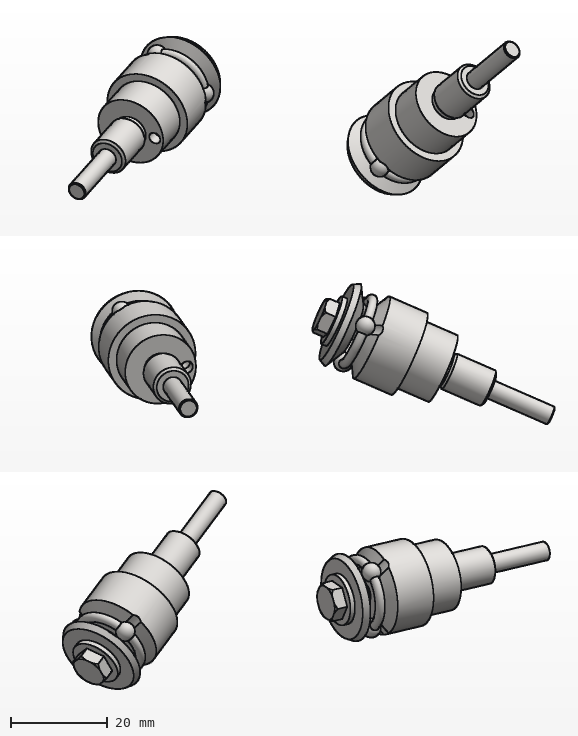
import cadquery as cq
import math


outer_radius = 9.25
cone_angle = 30.0
cone_slope = math.tan(math.radians(cone_angle))

bead_count = 3
bead_radius = 2.0
ring_tube_radius = 1.0
ring_radius = outer_radius - bead_radius

head_top = 8.75
head_across_flats = 7.05
head_corner_chamfer = 0.45
flange_top = 6.0
flange_radius = 5.35
rod_radius = 2.0
rod_end = head_top - 52.6
rod_chamfer_radial = 0.25
rod_chamfer_axial = 0.2

disc_back = 4.9
disc_back_radius = 8.5
disc_rim = 3.45
cone_tip_radius = 5.4

cone_base = -3.05
large_end = -11.6
small_radius = 7.5
small_end = -19.25
neck_radius = 3.5
neck_end = -20.2
nose_radius = 4.0
nose_shoulder = -20.7
nose_end = -29.9
nose_tip_radius = 3.35
nose_chamfer_axial = 0.4

blind_radius = 1.25
blind_offset = 5.6
blind_depth = 2.65
drill_tip_angle = 118.0

cone_height = (outer_radius - cone_tip_radius) * cone_slope


def revolve_about_y(points):
    """Solid of revolution from a closed outline of (radius, y) points."""
    return cq.Workplane("XY").polyline(points).close().revolve(360, (0, 0, 0), (0, 1, 0))


def turn_about_y(shape, angle):
    return shape.rotate((0, 0, 0), (0, 1, 0), angle)


def make_bolt():
    corner_radius = head_across_flats / math.sqrt(3)
    head = (
        cq.Workplane("XZ", origin=(0, head_top, 0))
        .polygon(6, 2 * corner_radius)
        .extrude(head_top - flange_top)
    )
    corner_limit = revolve_about_y([
        (0, flange_top),
        (corner_radius, flange_top),
        (corner_radius, head_top - head_corner_chamfer),
        (corner_radius - head_corner_chamfer, head_top),
        (0, head_top),
    ])
    flange_and_rod = revolve_about_y([
        (0, flange_top),
        (flange_radius, flange_top),
        (flange_radius, disc_back),
        (rod_radius, disc_back),
        (rod_radius, rod_end + rod_chamfer_axial),
        (rod_radius - rod_chamfer_radial, rod_end),
        (0, rod_end),
    ])
    return head.intersect(corner_limit).union(flange_and_rod)


def make_cone_disc():
    cone_tip = disc_rim - cone_height
    return revolve_about_y([
        (rod_radius, disc_back),
        (disc_back_radius, disc_back),
        (outer_radius, disc_rim),
        (cone_tip_radius, cone_tip),
        (rod_radius, cone_tip),
    ])


def make_bead(index):
    bead = cq.Workplane("XY").sphere(bead_radius).translate((ring_radius, 0, 0))
    return turn_about_y(bead, index * 360 / bead_count)


def make_beaded_ring():
    ring = (
        cq.Workplane("XY")
        .center(ring_radius, 0)
        .circle(ring_tube_radius)
        .revolve(360, (-ring_radius, 0, 0), (-ring_radius, 1, 0))
    )
    for index in range(bead_count):
        ring = ring.union(make_bead(index))
    return ring


def make_bead_groove(index):
    """Round groove along the cone, running outward from under a bead."""
    angle = math.radians(cone_angle)
    groove = cq.Workplane(cq.Solid.makeCylinder(
        bead_radius,
        outer_radius,
        cq.Vector(ring_radius, 0, 0),
        cq.Vector(math.cos(angle), -math.sin(angle), 0),
    ))
    return turn_about_y(groove, index * 360 / bead_count)


def make_blind_hole():
    tip_depth = blind_radius / math.tan(math.radians(drill_tip_angle / 2))
    drill = revolve_about_y([
        (0, small_end),
        (blind_radius, small_end),
        (blind_radius, small_end + blind_depth),
        (0, small_end + blind_depth + tip_depth),
    ])
    return drill.translate((blind_offset, 0, 0))


def make_housing():
    cone_tip = cone_base + cone_height
    housing = revolve_about_y([
        (rod_radius, cone_tip),
        (cone_tip_radius, cone_tip),
        (outer_radius, cone_base),
        (outer_radius, large_end),
        (small_radius, large_end),
        (small_radius, small_end),
        (neck_radius, small_end),
        (neck_radius, neck_end),
        (nose_radius, nose_shoulder),
        (nose_radius, nose_end + nose_chamfer_axial),
        (nose_tip_radius, nose_end),
        (rod_radius, nose_end),
    ])
    for index in range(bead_count):
        housing = housing.cut(make_bead(index)).cut(make_bead_groove(index))
    return housing.cut(make_blind_hole())


bolt = make_bolt()
cone_disc = make_cone_disc()
beaded_ring = make_beaded_ring()
housing = make_housing()

result = cq.Compound.makeCompound([
    bolt.solids().val(),
    cone_disc.solids().val(),
    beaded_ring.solids().val(),
    housing.solids().val(),
])